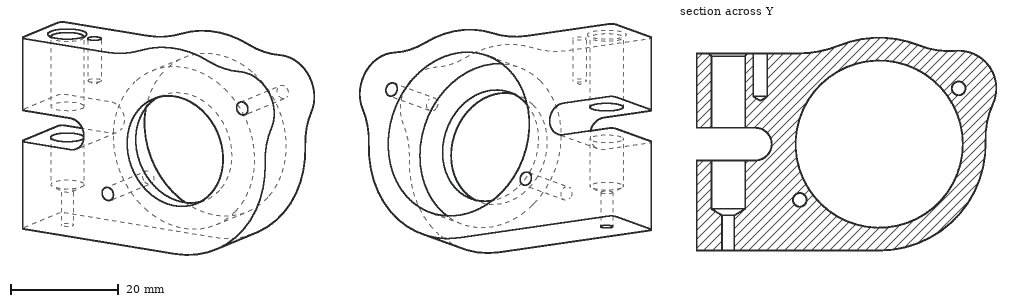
import cadquery as cq
import math

thickness = 14.0
mid_y = thickness / 2
left_x = -33.9
top_z = 16.85
body_radius = 39.55 / 2
edge_radius = 1.0

ear_x = 14.75
ear_z = 10.35
ear_radius = 7.0
ear_blend_radius = 15.0
shoulder_blend_radius = 20.0

lip_diameter = 21.0
bore_diameter = 31.0
lip_depth = 3.0
pin_hole_diameter = 2.5

slot_width = 6.0
slot_end_x = -19.95

screw_x = -28.05
screw_diameter = 6.2
screw_mouth_diameter = 7.25
screw_bottom_z = -12.0
vent_diameter = 2.2
small_hole_x = -22.1
small_hole_diameter = 2.5
small_hole_depth = 8.0
drill_half_angle = math.radians(59)


def polar(radius, angle):
    """Return the X, Z position at a radius and angle about the bore axis."""
    return radius * math.cos(angle), radius * math.sin(angle)


def toward(start, end, distance):
    """Return the point at a distance from start on the way to end."""
    share = distance / math.dist(start, end)
    return tuple(a + (b - a) * share for a, b in zip(start, end))


def arc_middle(center, start, end):
    """Return the midpoint of the shorter arc about center."""
    chord_middle = tuple((a + b) / 2 for a, b in zip(start, end))
    return toward(center, chord_middle, math.dist(center, start))


def make_body():
    center_distance = body_radius + shoulder_blend_radius
    shoulder_center_z = top_z + shoulder_blend_radius
    shoulder_center_x = -math.sqrt(center_distance**2 - shoulder_center_z**2)
    shoulder_center = (shoulder_center_x, shoulder_center_z)
    shoulder_start = (shoulder_center_x, top_z)
    shoulder_end = toward((0, 0), shoulder_center, body_radius)

    ear = (ear_x, ear_z)
    ear_distance = math.hypot(ear_x, ear_z)
    ear_angle = math.atan2(ear_z, ear_x)
    blend_distance = body_radius + ear_blend_radius
    blend_to_ear = ear_radius + ear_blend_radius
    spread = math.acos(
        (blend_distance**2 + ear_distance**2 - blend_to_ear**2) / (2 * blend_distance * ear_distance)
    )
    upper_center = polar(blend_distance, ear_angle + spread)
    lower_center = polar(blend_distance, ear_angle - spread)
    upper_body = toward((0, 0), upper_center, body_radius)
    lower_body = toward((0, 0), lower_center, body_radius)
    upper_ear = toward(ear, upper_center, ear_radius)
    lower_ear = toward(ear, lower_center, ear_radius)
    ear_tip = polar(ear_distance + ear_radius, ear_angle)

    body = (
        cq.Workplane("XZ")
        .moveTo(left_x, -body_radius)
        .lineTo(left_x, top_z)
        .lineTo(*shoulder_start)
        .threePointArc(arc_middle(shoulder_center, shoulder_start, shoulder_end), shoulder_end)
        .threePointArc((0, body_radius), upper_body)
        .threePointArc(arc_middle(upper_center, upper_body, upper_ear), upper_ear)
        .threePointArc(ear_tip, lower_ear)
        .threePointArc(arc_middle(lower_center, lower_ear, lower_body), lower_body)
        .threePointArc(polar(body_radius, -math.pi / 4), (0, -body_radius))
        .close()
        .extrude(-thickness)
    )
    return body.faces("<X").edges("|Z").fillet(edge_radius)


def cylinder_y(x, z, diameter, start_y):
    """Return a cutter along Y from start_y to the back face."""
    return (
        cq.Workplane("XZ", origin=(x, start_y, z))
        .circle(diameter / 2)
        .extrude(start_y - thickness)
    )


def drill(x, diameter, bottom_z):
    """Return a drill from the top face with a conical tip below bottom_z."""
    radius = diameter / 2
    tip_z = bottom_z - radius / math.tan(drill_half_angle)
    return (
        cq.Workplane("XZ", origin=(x, mid_y, 0))
        .polyline([(0, top_z), (radius, top_z), (radius, bottom_z), (0, tip_z)])
        .close()
        .revolve(360, (0, 0, 0), (0, 1, 0))
    )


def make_slot():
    slot_radius = slot_width / 2
    straight_length = slot_end_x - slot_radius - left_x
    straight = cq.Workplane("XY").box(straight_length, thickness, slot_width, centered=(False, False, True))
    straight = straight.translate((left_x, 0, 0))
    return straight.union(cylinder_y(slot_end_x - slot_radius, 0, slot_width, 0))


def make_screw_hole():
    vent = (
        cq.Workplane("XY", origin=(screw_x, mid_y, -body_radius))
        .circle(vent_diameter / 2)
        .extrude(body_radius)
    )
    mouth_depth = (screw_mouth_diameter - screw_diameter) / 2
    mouth = (
        cq.Workplane("XY", origin=(screw_x, mid_y, top_z))
        .circle(screw_mouth_diameter / 2)
        .workplane(offset=-mouth_depth)
        .circle(screw_diameter / 2)
        .loft()
    )
    return drill(screw_x, screw_diameter, screw_bottom_z).union(vent).union(mouth)


result = make_body()
result = result.cut(cylinder_y(0, 0, lip_diameter, 0))
result = result.cut(cylinder_y(0, 0, bore_diameter, lip_depth))
for side in (1, -1):
    result = result.cut(cylinder_y(side * ear_x, side * ear_z, pin_hole_diameter, 0))
result = result.cut(make_slot())
result = result.cut(make_screw_hole())
result = result.cut(drill(small_hole_x, small_hole_diameter, top_z - small_hole_depth))